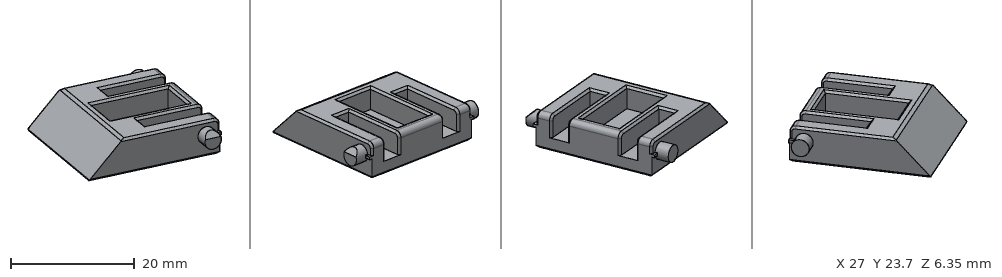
import cadquery as cq

body_width = 22.0
body_length = 24.0
body_height = 6.35
edge_chamfer = 0.4
back_fillet = 1.0

pin_diameter = 3.0
pin_span = 27.0
pin_back_offset = 2.5
pin_top_offset = 2.5
pin_lead_in = 1.0
pin_y = -pin_back_offset
pin_z = body_height - pin_top_offset

tab_span = 23.0
tab_length = pin_back_offset - pin_diameter / 2
tab_thickness = 0.5
tab_top_z = pin_z + tab_thickness / 2

slot_width = 3.0
slot_length = 12.0
slot_depth = 4.0
slot_center_x = 6.5

pocket_width = 7.0
pocket_length = 14.0
pocket_depth = 4.0
pocket_back_offset = 2.0


def box(width, length, height, center_x, back_y, bottom_z):
    """Box centred on center_x, reaching forward from back_y and up from bottom_z."""
    return (
        cq.Workplane("XY")
        .box(width, length, height, centered=(True, False, False))
        .translate((center_x, back_y - length, bottom_z))
    )


def make_wedge():
    """Block with a 45 degree front slope, a rounded top back edge and a chamfered base."""
    profile = [
        (0, 0),
        (-body_length, 0),
        (-body_length + body_height, body_height),
        (0, body_height),
    ]
    wedge = (
        cq.Workplane("YZ")
        .polyline(profile)
        .close()
        .extrude(body_width / 2, both=True)
    )
    wedge = wedge.edges(">Y and >Z").fillet(back_fillet)
    return wedge.faces("<Z").edges().chamfer(edge_chamfer)


def cut_slots(body):
    """Cut both slots from the top, open through the back face."""
    for side in (-1, 1):
        slot = box(
            slot_width, slot_length, slot_depth, side * slot_center_x, 0, body_height - slot_depth
        )
        body = body.cut(slot)
    return body


def cut_pocket(body):
    """Cut the closed pocket into the top."""
    pocket = box(
        pocket_width, pocket_length, pocket_depth, 0, -pocket_back_offset, body_height - pocket_depth
    )
    return body.cut(pocket)


def chamfer_rim_and_corners(body):
    """Chamfer the top outline, the slot and pocket mouths and the upright back corners.

    The outer back corners are chamfered above the tabs only, the slot corners down to the slot floor.
    """
    lower_block = box(body_width, body_length, tab_top_z, 0, 0, 0)
    upper_part = body.cut(lower_block)
    lower_part = body.intersect(lower_block)
    back_corners = upper_part.edges("|Z and >Y")
    rim = upper_part.faces(">Z").edges("not >Y")
    upper_part = back_corners.add(rim).chamfer(edge_chamfer)
    slot_corners = lower_part.edges("|Z and >Y").edges("not(<X or >X)")
    lower_part = slot_corners.chamfer(edge_chamfer)
    return lower_part.union(upper_part)


def keep_outside_body(bar):
    """Keep only the ends of a cross bar that stand out from the sides of the body."""
    return bar.cut(box(body_width, body_length, body_height, 0, 0, 0))


def make_pins():
    """Two hinge pins, with a sloped lead-in on the +X tip."""
    pins = (
        cq.Workplane("YZ")
        .center(pin_y, pin_z)
        .circle(pin_diameter / 2)
        .extrude(pin_span / 2, both=True)
    )
    tip_x = pin_span / 2
    crown_z = pin_z + pin_diameter / 2
    lead_in = (
        cq.Workplane("XZ", origin=(0, pin_y, 0))
        .polyline([(tip_x - pin_lead_in, crown_z), (tip_x, crown_z), (tip_x, crown_z - pin_lead_in)])
        .close()
        .extrude(pin_diameter, both=True)
    )
    return keep_outside_body(pins.cut(lead_in))


def make_tabs():
    """A small tab on each side, flush with the back face."""
    bar = box(tab_span, tab_length, tab_thickness, 0, 0, tab_top_z - tab_thickness)
    return keep_outside_body(bar)


body = make_wedge()
body = cut_slots(body)
body = cut_pocket(body)
body = chamfer_rim_and_corners(body)
result = body.union(make_pins()).union(make_tabs())